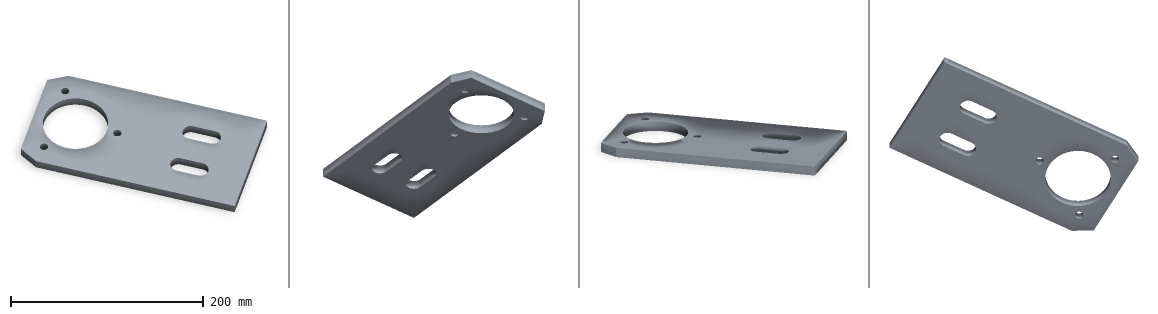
import cadquery as cq
import math

plate_length = 235.0
plate_width = 120.0
plate_thickness = 10.0

corner_length = 20.0
corner_angle = math.radians(30)
corner_depth = corner_length * math.tan(corner_angle)

bore_diameter = 68.0
bore_from_end = 45.0
bolt_hole_diameter = 8.5
bolt_circle_diameter = 90.5
bolt_count = 3

slot_length = 41.0
slot_width = 17.0
slot_spacing = 45.0
slot_from_end = 175.0

cut_end_x = -plate_length / 2
square_end_x = plate_length / 2
half_width = plate_width / 2
bore_x = cut_end_x + bore_from_end
slot_x = cut_end_x + slot_from_end


def make_plate():
    """Rectangular plate with both -X corners cut off."""
    outline = [
        (cut_end_x, -half_width + corner_depth),
        (cut_end_x + corner_length, -half_width),
        (square_end_x, -half_width),
        (square_end_x, half_width),
        (cut_end_x + corner_length, half_width),
        (cut_end_x, half_width - corner_depth),
    ]
    return cq.Workplane("XY").polyline(outline).close().extrude(plate_thickness)


def make_bore():
    """Cutter for the large through bore."""
    return cq.Workplane("XY").center(bore_x, 0).circle(bore_diameter / 2).extrude(plate_thickness)


def make_bolt_holes():
    """Cutters for the through bolt holes, the first one on the +X side of the bore."""
    return (
        cq.Workplane("XY")
        .center(bore_x, 0)
        .polarArray(bolt_circle_diameter / 2, 0, 360, bolt_count)
        .circle(bolt_hole_diameter / 2)
        .extrude(plate_thickness)
    )


def make_slots():
    """Cutters for the two through slots running along X."""
    return (
        cq.Workplane("XY")
        .pushPoints([(slot_x, -slot_spacing / 2), (slot_x, slot_spacing / 2)])
        .slot2D(slot_length, slot_width)
        .extrude(plate_thickness)
    )


result = make_plate().cut(make_bore()).cut(make_bolt_holes()).cut(make_slots())